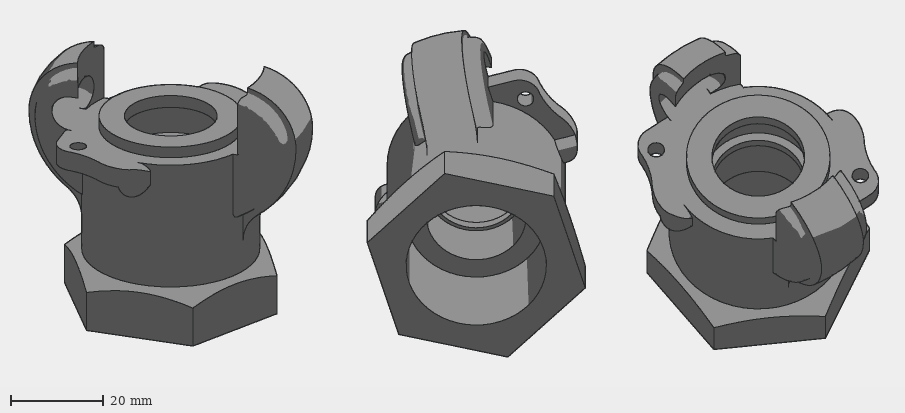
import cadquery as cq
import math

HEX_FLATS = 41.95
HEX_CORNERS = HEX_FLATS / math.cos(math.pi / 6)
SHOULDER_Z = 12.0
SHOULDER_ANGLE = 30

BARREL_R = 38.5 / 2
BARREL_TOP = 41.2
COLLAR_R = 31.0 / 2
COLLAR_TOP = 43.75

BORE_R = 20.0 / 2
SEAL_R = 11.9
SEAL_MID_R = 11.3
SEAL_TOP = 40.9
SEAL_FLOOR = 34.0
LIP_BOTTOM = 31.75
PASSAGE_R = 21.5 / 2
THREAD_R = 30.25 / 2
THREAD_DEPTH = 19.8

HOOK_R = 30.95
HOOK_Z = 42.95
HOOK_UPPER_R = 13.3
HOOK_LOWER_R = 21.35
HOOK_ROOT_Z = 19.4
MOUTH_R = 20.2
RIM_HALF_WIDTH = 5.65
CHEEK_HALF_WIDTH = 8.8
CHEEK_STEP = 1.55
CHEEK_ROUND = 1.75
RIM_FILLET = 0.6

GROOVE_PATH_R = 21.65
GROOVE_R = 8.0 / 2
GROOVE_Z = BARREL_TOP + GROOVE_R
GROOVE_END_ANGLE = 6.0
GROOVE_OPEN_ANGLE = 45.0

LUG_SPAN = 47.0
LUG_BOTTOM = 36.75
LUG_X = -20.9
LUG_CORNER_R = 4.45
LUG_CORNER_END = (LUG_X + LUG_CORNER_R, -19.0)
LUG_WAIST_MID = (-13.2, -19.75)
LUG_WAIST_END = (-9.8, -21.3)
NOSE_R = 5.25
NOSE_TIP = (-3.3, -LUG_SPAN / 2)
STOP_R = 3.3
STOP_X = -1.0
PIN_R = 3.5 / 2
PIN_POS = (-15.8, -15.7)

BIG = 123.8


def cylinder(radius, bottom, top):
    return cq.Workplane("XY").workplane(offset=bottom).circle(radius).extrude(top - bottom)


def half_turn(solid):
    """The same shape on the opposite side of the Z axis."""
    return solid.rotate((0, 0, 0), (0, 0, 1), 180)


def slab(half_width):
    """Everything within half_width of the XZ plane."""
    return cq.Workplane("XY").box(BIG, 2 * half_width, BIG)


def hex_foot():
    """Hexagonal prism with its upper corners turned down to a cone."""
    prism = cq.Workplane("XY").polygon(6, HEX_CORNERS).extrude(SHOULDER_Z)
    reach = HEX_CORNERS
    drop = (reach - BARREL_R) * math.tan(math.radians(SHOULDER_ANGLE))
    envelope = (
        cq.Workplane("XZ")
        .polyline([
            (0, SHOULDER_Z),
            (BARREL_R, SHOULDER_Z),
            (reach, SHOULDER_Z - drop),
            (reach, SHOULDER_Z - BIG),
            (0, SHOULDER_Z - BIG),
        ])
        .close()
        .revolve(360, (0, 0, 0), (0, 1, 0))
    )
    return prism.intersect(envelope)


def bore():
    """Bore with a bulged seal chamber, a lip, and a wide threaded end."""
    bulge_mid = (SEAL_MID_R, (SEAL_TOP + SEAL_FLOOR) / 2)
    return (
        cq.Workplane("XZ")
        .moveTo(0, 0)
        .lineTo(THREAD_R, 0)
        .lineTo(THREAD_R, THREAD_DEPTH)
        .lineTo(PASSAGE_R, THREAD_DEPTH)
        .lineTo(PASSAGE_R, LIP_BOTTOM)
        .lineTo(BORE_R, LIP_BOTTOM)
        .lineTo(BORE_R, SEAL_FLOOR)
        .lineTo(SEAL_R, SEAL_FLOOR)
        .threePointArc(bulge_mid, (BORE_R, SEAL_TOP))
        .lineTo(BORE_R, COLLAR_TOP)
        .lineTo(0, COLLAR_TOP)
        .close()
        .revolve(360, (0, 0, 0), (0, 1, 0))
    )


def claw_ring(step, with_root):
    """Full ring with the claw's section, its outline moved inwards by step."""
    inner_r = COLLAR_R
    upper_r = HOOK_UPPER_R - step
    lower_r = HOOK_LOWER_R - step
    upper_x = HOOK_R - HOOK_UPPER_R
    lower_x = HOOK_R - HOOK_LOWER_R

    tip_angle = math.acos((MOUTH_R - upper_x) / upper_r)
    tip = (MOUTH_R, HOOK_Z + upper_r * math.sin(tip_angle))
    upper_mid = (
        upper_x + upper_r * math.cos(tip_angle / 2),
        HOOK_Z + upper_r * math.sin(tip_angle / 2),
    )
    rise = HOOK_Z - HOOK_ROOT_Z
    run = BARREL_R - lower_x
    root_r = (run**2 + rise**2 - lower_r**2) / (2 * (lower_r - run))
    if with_root:
        lower_angle = math.atan2(rise, run + root_r)
    else:
        lower_angle = math.acos((inner_r - lower_x) / lower_r)

    def on_lower_arc(angle):
        return (lower_x + lower_r * math.cos(angle), HOOK_Z - lower_r * math.sin(angle))

    outline = (
        cq.Workplane("XZ")
        .moveTo(inner_r, BARREL_TOP)
        .lineTo(MOUTH_R, BARREL_TOP)
        .lineTo(*tip)
        .threePointArc(upper_mid, (HOOK_R - step, HOOK_Z))
        .threePointArc(on_lower_arc(lower_angle / 2), on_lower_arc(lower_angle))
    )
    if with_root:
        half = lower_angle / 2
        root_mid = (
            BARREL_R + root_r * (1 - math.cos(half)),
            HOOK_ROOT_Z + root_r * math.sin(half),
        )
        outline = outline.threePointArc(root_mid, (BARREL_R, HOOK_ROOT_Z)).lineTo(inner_r, HOOK_ROOT_Z)
    return outline.close().revolve(360, (0, 0, 0), (0, 1, 0))


def hook_groove():
    """U-shaped groove about Z in the -X hook: open inwards and at -Y, with a ball end."""
    mouth_r = BARREL_R
    tunnel = (
        cq.Workplane("XZ")
        .moveTo(-mouth_r, BARREL_TOP)
        .lineTo(-GROOVE_PATH_R, BARREL_TOP)
        .threePointArc((-GROOVE_PATH_R - GROOVE_R, GROOVE_Z), (-GROOVE_PATH_R, GROOVE_Z + GROOVE_R))
        .lineTo(-mouth_r, GROOVE_Z + GROOVE_R)
        .close()
        .revolve(GROOVE_OPEN_ANGLE, (0, 0, 0), (0, 1, 0))
    )
    ball = cq.Workplane("XY").sphere(GROOVE_R).translate((-GROOVE_PATH_R, 0, GROOVE_Z))
    return tunnel.union(ball).rotate((0, 0, 0), (0, 0, 1), -GROOVE_END_ANGLE)


def corner_selector(side):
    """Selects what lies in the corner between a cheek and the rim face at y = side."""
    margin = 0.05
    return cq.selectors.BoxSelector(
        (-(HOOK_R - CHEEK_STEP), side - margin, HOOK_ROOT_Z + margin),
        (0, side + margin, BIG),
        boundingbox=True,
    )


def hook():
    """Claw hook on the -X side, from a raised rim between two rounded cheeks."""
    minus_x = cq.Workplane("XY").box(BIG, BIG, BIG).translate((-BIG / 2, 0, 0))
    rim = claw_ring(0, True).intersect(slab(RIM_HALF_WIDTH)).intersect(minus_x)
    cheeks = claw_ring(CHEEK_STEP, False).intersect(slab(CHEEK_HALF_WIDTH)).intersect(minus_x)
    outer_edges = cq.selectors.BoxSelector(
        (-HOOK_R, -BIG, 0),
        (-BARREL_R + CHEEK_ROUND / 2, BIG, BIG),
    )
    cheeks = cheeks.faces("<Y or >Y").edges("%BSPLINE").edges(outer_edges).fillet(CHEEK_ROUND)
    claw = cheeks.union(rim)
    for side in (-RIM_HALF_WIDTH, RIM_HALF_WIDTH):
        claw = claw.edges("%BSPLINE").edges(corner_selector(side)).fillet(RIM_FILLET)
    return claw


def lug():
    """Side lug at -X, -Y: a plate with a pin hole, ending in a rounded stop."""
    corner_centre = (LUG_CORNER_END[0], LUG_CORNER_END[1] + LUG_CORNER_R)
    corner_mid = (
        corner_centre[0] - LUG_CORNER_R * math.sqrt(0.5),
        corner_centre[1] - LUG_CORNER_R * math.sqrt(0.5),
    )
    nose_centre = (NOSE_TIP[0], NOSE_TIP[1] + NOSE_R)
    nose_mid = (
        nose_centre[0] + NOSE_R * math.sqrt(0.5),
        nose_centre[1] - NOSE_R * math.sqrt(0.5),
    )
    nose_end = (nose_centre[0] + NOSE_R, nose_centre[1])
    run = NOSE_TIP[0] - LUG_WAIST_END[0]
    rise = LUG_WAIST_END[1] - NOSE_TIP[1]
    flank_r = (run**2 + rise**2) / (2 * rise)
    half = math.asin(run / flank_r) / 2
    flank_mid = (
        NOSE_TIP[0] - flank_r * math.sin(half),
        NOSE_TIP[1] + flank_r * (1 - math.cos(half)),
    )
    stop_z = BARREL_TOP - STOP_R
    outline = (
        cq.Workplane("XY")
        .workplane(offset=stop_z - STOP_R)
        .moveTo(LUG_X, -CHEEK_HALF_WIDTH)
        .lineTo(LUG_X, corner_centre[1])
        .threePointArc(corner_mid, LUG_CORNER_END)
        .threePointArc(LUG_WAIST_MID, LUG_WAIST_END)
        .threePointArc(flank_mid, NOSE_TIP)
        .threePointArc(nose_mid, nose_end)
        .lineTo(nose_end[0], -COLLAR_R)
        .lineTo(-COLLAR_R, -CHEEK_HALF_WIDTH)
        .close()
        .extrude(2 * STOP_R)
    )
    plate = (
        cq.Workplane("XZ")
        .moveTo(LUG_X, LUG_BOTTOM)
        .lineTo(STOP_X, LUG_BOTTOM)
        .lineTo(STOP_X, BARREL_TOP)
        .lineTo(LUG_X, BARREL_TOP)
        .close()
        .extrude(BIG)
    )
    stop = cq.Workplane("XZ").moveTo(STOP_X, stop_z).circle(STOP_R).extrude(BIG)
    pin_hole = cylinder(PIN_R, 0, BIG).translate((*PIN_POS, 0))
    return outline.intersect(plate.union(stop)).cut(pin_hole)


body = hex_foot().union(cylinder(BARREL_R, 0, BARREL_TOP)).union(cylinder(COLLAR_R, 0, COLLAR_TOP))
body = body.cut(bore())
body = body.union(hook()).union(half_turn(hook()))
body = body.cut(hook_groove()).cut(half_turn(hook_groove()))
result = body.union(lug()).union(half_turn(lug()))